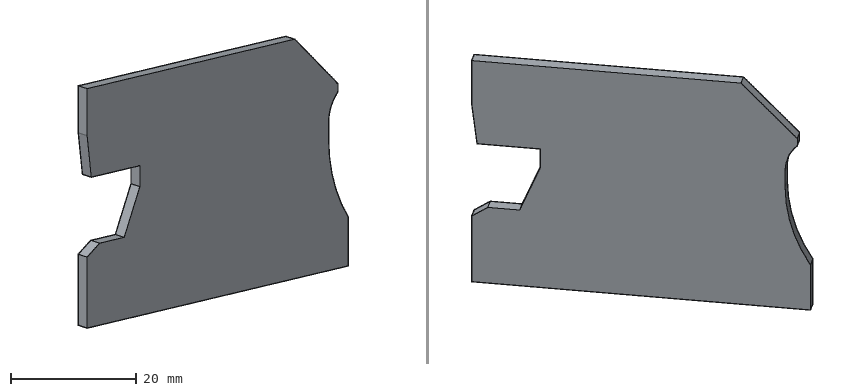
import cadquery as cq
import math

thickness = 2.2
length = 55.0
height = 39.8

top_corner = 9.15
nose_setback = 2.15
nose_height = 1.3
heel_height = 8.15
recess_depth = 4.1
upper_radius = 6.6
lower_radius = 24.75

jaw_straight = 7.8
jaw_taper = 0.9
slot_top_drop = 14.9
slot_depth = 11.1
slot_wall = 3.45
slot_height = 11.3
slot_floor_depth = 7.8
bevel_length = 2.65
bevel_height = 1.8

front = -length / 2
back = length / 2
bottom = -height / 2
top = height / 2

recess_y = back - recess_depth
nose_y = back - nose_setback
nose_top = top - top_corner
nose_bottom = nose_top - nose_height
heel_top = bottom + heel_height
slot_top = top - slot_top_drop
slot_floor = slot_top - slot_height


def arc_rise(radius, sideways):
    """Height of an arc that starts vertical and moves sideways by the given amount."""
    return math.sqrt(radius**2 - (radius - sideways) ** 2)


def arc_middle(radius, sideways, tangent_z, direction):
    """Midpoint of a recess arc that leaves the recess wall at tangent_z."""
    half_angle = math.acos(1 - sideways / radius) / 2
    middle_y = recess_y + radius * (1 - math.cos(half_angle))
    middle_z = tangent_z + direction * radius * math.sin(half_angle)
    return (middle_y, middle_z)


upper_sideways = recess_depth - nose_setback
wall_top = nose_bottom - arc_rise(upper_radius, upper_sideways)
wall_bottom = heel_top + arc_rise(lower_radius, recess_depth)
upper_middle = arc_middle(upper_radius, upper_sideways, wall_top, 1)
lower_middle = arc_middle(lower_radius, recess_depth, wall_bottom, -1)

outline = (
    cq.Workplane("YZ", origin=(-thickness / 2, 0, 0))
    .moveTo(front, bottom)
    .lineTo(back, bottom)
    .lineTo(back, heel_top)
    .threePointArc(lower_middle, (recess_y, wall_bottom))
    .lineTo(recess_y, wall_top)
    .threePointArc(upper_middle, (nose_y, nose_bottom))
    .lineTo(nose_y, nose_top)
    .lineTo(nose_y - top_corner, top)
    .lineTo(front, top)
    .lineTo(front, top - jaw_straight)
    .lineTo(front + jaw_taper, slot_top)
    .lineTo(front + slot_depth, slot_top)
    .lineTo(front + slot_depth, slot_top - slot_wall)
    .lineTo(front + slot_floor_depth, slot_floor)
    .lineTo(front + bevel_length, slot_floor)
    .lineTo(front, slot_floor - bevel_height)
    .close()
)

result = outline.extrude(thickness)